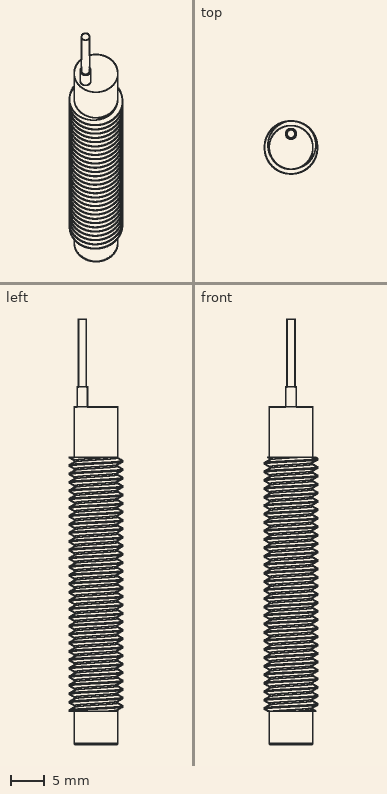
import cadquery as cq
import math

total_height = 63.0
barrel_height = 50.0
barrel_diameter = 6.5
bottom_chamfer = 0.2
thread_bottom = 5.0
thread_top = 42.5

thread_diameter = 7.9
root_diameter = 6.4
thread_turns = 30
thread_pitch = (thread_top - thread_bottom) / thread_turns
crest_width = 0.16
flank_half_angle = math.radians(30)
crest_height_at_x = 6.0
root_overlap = 0.1
extra_turns = 2

cable_y = 2.0
sleeve_diameter = 1.6
sleeve_top = 53.0
cable_diameter = 1.2


def cylinder(diameter, bottom, top, y=0.0):
    """Vertical cylinder between two heights."""
    return cq.Workplane("XY", origin=(0, y, bottom)).circle(diameter / 2).extrude(top - bottom)


def thread_ridge():
    """Helical ridge cut off flat at both ends of the threaded length."""
    crest_radius = thread_diameter / 2
    base_radius = root_diameter / 2 - root_overlap
    half_crest = crest_width / 2
    half_base = half_crest + (crest_radius - base_radius) * math.tan(flank_half_angle)

    start = crest_height_at_x - extra_turns * thread_pitch
    swept_turns = thread_turns + 2 * extra_turns
    path = cq.Wire.makeHelix(thread_pitch, swept_turns * thread_pitch, base_radius)
    ridge = (
        cq.Workplane("XZ")
        .polyline([
            (base_radius, -half_base),
            (crest_radius, -half_crest),
            (crest_radius, half_crest),
            (base_radius, half_base),
        ])
        .close()
        .sweep(cq.Workplane(obj=path), isFrenet=True)
        .translate((0, 0, start))
    )
    return ridge.intersect(cylinder(2 * thread_diameter, thread_bottom, thread_top))


bottom_end = cylinder(barrel_diameter, 0, thread_bottom).faces("<Z").chamfer(bottom_chamfer)
thread_core = cylinder(root_diameter, thread_bottom, thread_top)
top_end = cylinder(barrel_diameter, thread_top, barrel_height)
sleeve = cylinder(sleeve_diameter, barrel_height, sleeve_top, cable_y)
cable = cylinder(cable_diameter, sleeve_top, total_height, cable_y)

threaded_length = thread_core.union(thread_ridge())
result = threaded_length.union(bottom_end).union(top_end).union(sleeve).union(cable)